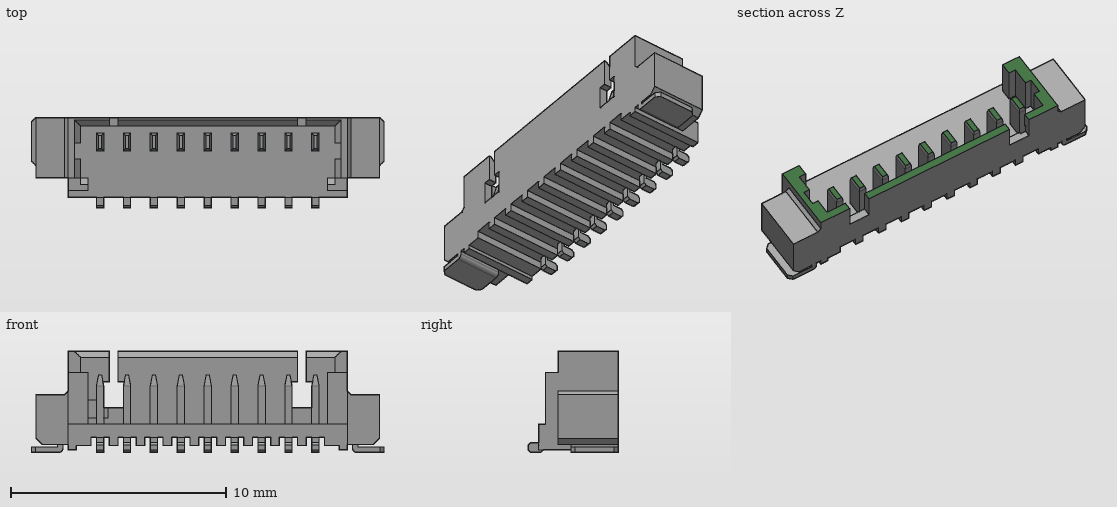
import cadquery as cq


pin_count = 9
pin_row_length = 10.0
pitch = pin_row_length / (pin_count - 1)
pin_width = 0.35
pin_depth = 0.82
pin_back = 0.72
pin_top = 3.59
pin_tip_height = 0.51
pin_tip_inset = 0.1

tail_height = 0.46
tail_front = 4.2
tail_back = 3.5
tail_leg_depth = 0.15
tail_chamfer = 0.11

body_length = 12.99
body_depth = 3.7
body_height = 4.7
underside_z = 0.31
foot_width = 0.4
foot_z = 0.11
floor_z = 1.31
back_wall = 0.4
side_wall = 0.59
side_wall_depth = 2.8
rim_bevel = 0.3
key_width = rim_bevel
key_start = 1.18
key_depth = 0.74
tail_notch_width = 0.84
tail_notch_top = 0.7

post_width = 0.93
post_front = 3.4
post_top = 3.72
post_bevel = 0.3

opening_x = 3.5 * pitch
slot_width = 0.4
window_width = 1.05
window_bottom = 2.08
window_top = 3.28

mark_length = 1.26
mark_bottom = 1.59
mark_top = 2.45
mark_depth = 0.1

wing_length = 1.5
wing_bottom = 0.36
wing_top = 2.69
wing_lower_chamfer = 0.3
wing_root_chamfer = 0.16

tab_end_x = 8.2
tab_leg_x = 6.72
tab_thickness = 0.26
tab_depth = 2.21
tab_corner = 0.2
tab_bend_radius = 0.2

half_body = body_length / 2
half_inside = half_body - side_wall
pin_positions = [(i - (pin_count - 1) / 2) * pitch for i in range(pin_count)]


def block(x0, x1, depth0, depth1, z0, z1):
    """Box between two X values, two depths measured from the back face, and two heights."""
    return cq.Workplane("XY").box(
        x1 - x0, depth1 - depth0, z1 - z0, centered=False
    ).translate((x0, -depth1, z0))


def both_ends(solid):
    """The solid joined with its mirror image at the other end of the row."""
    return solid.union(solid.mirror("YZ"))


def make_base():
    base = block(-half_body, half_body, 0, body_depth, underside_z, floor_z)
    foot = block(half_body - foot_width, half_body, 0, body_depth, foot_z, floor_z)
    base = base.union(both_ends(foot))
    for x in pin_positions:
        half_notch = tail_notch_width / 2
        base = base.cut(block(x - half_notch, x + half_notch, 0, body_depth, 0, tail_notch_top))
    return base


def make_walls():
    walls = block(-half_body, half_body, 0, side_wall_depth, floor_z, body_height)
    walls = walls.cut(block(-half_inside, half_inside, back_wall, side_wall_depth, floor_z, body_height))
    bevel_z = body_height - rim_bevel
    cutter_depth = 2 * side_wall_depth
    bevel = (
        cq.Workplane("XY", origin=(0, -back_wall - cutter_depth / 2, bevel_z))
        .rect(2 * half_inside, cutter_depth)
        .workplane(offset=rim_bevel)
        .rect(2 * (half_inside + rim_bevel), cutter_depth + 2 * rim_bevel)
        .loft(ruled=True)
    )
    key = block(half_inside, half_inside + key_width, key_start, key_start + key_depth, floor_z, body_height)
    return walls.cut(bevel).cut(both_ends(key))


def make_posts():
    inner_x = half_body - post_width
    post = block(inner_x, half_body, side_wall_depth, post_front, floor_z, post_top)
    bevel = (
        cq.Workplane("YZ", origin=(inner_x, 0, 0))
        .moveTo(-side_wall_depth, post_top)
        .lineTo(-side_wall_depth - post_bevel, post_top)
        .lineTo(-side_wall_depth, post_top - post_bevel)
        .close()
        .extrude(half_inside - inner_x)
    )
    return both_ends(post.cut(bevel))


def make_back_openings():
    slot = block(
        opening_x - slot_width / 2, opening_x + slot_width / 2, 0, back_wall, window_top, body_height
    )
    window = block(
        opening_x - window_width / 2, opening_x + window_width / 2, 0, back_wall, window_bottom, window_top
    )
    mark = block(
        -half_inside, -half_inside + mark_length, back_wall - mark_depth, back_wall, mark_bottom, mark_top
    )
    return both_ends(slot.union(window)).union(mark)


def make_wings():
    wing_end = half_body + wing_length
    wing = (
        cq.Workplane("XZ")
        .moveTo(half_inside, wing_bottom)
        .lineTo(wing_end - wing_lower_chamfer, wing_bottom)
        .lineTo(wing_end, wing_bottom + wing_lower_chamfer)
        .lineTo(wing_end, wing_top)
        .lineTo(half_body + wing_root_chamfer, wing_top)
        .lineTo(half_body, wing_top + wing_root_chamfer)
        .lineTo(half_body, floor_z)
        .lineTo(half_inside, floor_z)
        .close()
        .extrude(side_wall_depth)
    )
    return both_ends(wing)


def make_tabs():
    leg_outer_x = tab_leg_x + tab_thickness
    tab = (
        cq.Workplane("XZ")
        .moveTo(tab_leg_x + tab_bend_radius, 0)
        .lineTo(tab_end_x, 0)
        .lineTo(tab_end_x, tab_thickness)
        .lineTo(leg_outer_x, tab_thickness)
        .lineTo(leg_outer_x, floor_z)
        .lineTo(tab_leg_x, floor_z)
        .lineTo(tab_leg_x, tab_bend_radius)
        .radiusArc((tab_leg_x + tab_bend_radius, 0), -tab_bend_radius)
        .close()
        .extrude(tab_depth)
        .edges("|Z and >X")
        .chamfer(tab_corner)
    )
    return both_ends(tab)


def make_pin(x):
    centre_depth = pin_back + pin_depth / 2
    shaft_top = pin_top - pin_tip_height
    shaft = block(
        x - pin_width / 2, x + pin_width / 2, pin_back, pin_back + pin_depth, floor_z, shaft_top
    )
    tip = (
        cq.Workplane("XY", origin=(x, -centre_depth, shaft_top))
        .rect(pin_width, pin_depth)
        .workplane(offset=pin_tip_height)
        .rect(pin_width - 2 * pin_tip_inset, pin_depth - 2 * pin_tip_inset)
        .loft(ruled=True)
    )
    tail = (
        cq.Workplane("YZ", origin=(x - pin_width / 2, 0, 0))
        .moveTo(-tail_back, 0)
        .lineTo(-tail_front, 0)
        .lineTo(-tail_front, tail_height)
        .lineTo(-tail_back - tail_leg_depth, tail_height)
        .lineTo(-tail_back - tail_leg_depth, floor_z)
        .lineTo(-tail_back, floor_z)
        .close()
        .extrude(pin_width)
        .edges("|X and (<Y or (<Z and >Y))")
        .chamfer(tail_chamfer)
    )
    return shaft.union(tip).union(tail)


result = make_base().union(make_walls()).union(make_posts()).union(make_wings())
result = result.cut(make_back_openings()).union(make_tabs())
for pin_x in pin_positions:
    result = result.union(make_pin(pin_x))